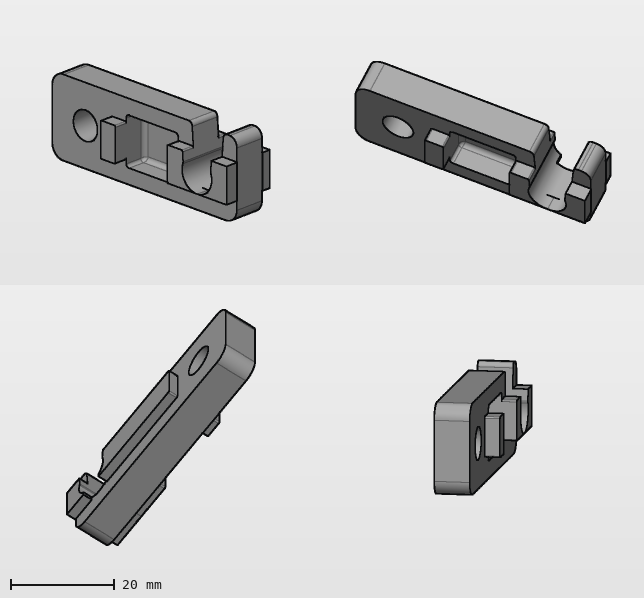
import cadquery as cq
import math

plate_length = 49.85
plate_height = 18.0
plate_thickness = 7.0
corner_radius = 3.0
tip_radius = 2.0

front_pad_height = 3.0
back_pad_height = 2.0
pad_start = 16.0
pad_end = 50.0
pad_width = 8.0
pad_edge_radius = 0.3
back_gap_width = 5.0

hole_diameter = 6.5
hole_x = 9.0

pocket_start = 20.0
pocket_end = 34.0
pocket_height = 11.0
pocket_depth = 5.0
pocket_corner_radius = 0.7
pocket_floor_radius = 1.0

seat_x = 42.0
seat_radius = 4.0
mouth_width = 8.5
throat_width = 7.5
throat_rise = 2.0
throat_radius = 1.0
mouth_radius = 1.0

mid_z = plate_height / 2
plate_front = front_pad_height
plate_back = plate_front + plate_thickness
back_face = plate_back + back_pad_height
half_mouth = mouth_width / 2
half_throat = throat_width / 2
throat_z = mid_z + throat_rise
taper = (half_mouth - half_throat) / (plate_height - throat_z)


def block(x_start, x_end, y_start, y_end, height):
    """Box centred on the mid height of the plate."""
    size = (x_end - x_start, y_end - y_start, height)
    corner = (x_start, y_start, mid_z - height / 2)
    return cq.Workplane("XY").box(*size, centered=False).translate(corner)


def cylinder(x, radius):
    """Cylinder along Y at mid height, through the full depth."""
    return cq.Workplane("XZ", origin=(x, 0, mid_z)).circle(radius).extrude(-back_face)


def make_slot():
    """Through slot with rounded lips where the throat meets the seat."""
    wall_angle = math.atan(taper)
    wall_x = half_throat - taper * throat_rise
    offset_x = wall_x + throat_radius / math.cos(wall_angle)
    reach = seat_radius + throat_radius
    quad_a = 1 + taper**2
    quad_b = offset_x * taper
    lip_rise = (math.sqrt(quad_b**2 - quad_a * (offset_x**2 - reach**2)) - quad_b) / quad_a
    lip_x = offset_x + taper * lip_rise
    wall_point = (
        lip_x - throat_radius * math.cos(wall_angle),
        lip_rise + throat_radius * math.sin(wall_angle),
    )
    seat_point = (lip_x * seat_radius / reach, lip_rise * seat_radius / reach)
    seat_angle = math.atan2(lip_rise, lip_x)
    middle_angle = math.pi + (seat_angle - wall_angle) / 2
    lip_middle = (
        lip_x + throat_radius * math.cos(middle_angle),
        lip_rise + throat_radius * math.sin(middle_angle),
    )

    def mirrored(point):
        return (-point[0], point[1])

    top = plate_height - mid_z
    return (
        cq.Workplane("XZ", origin=(seat_x, 0, mid_z))
        .moveTo(half_mouth, top)
        .lineTo(*wall_point)
        .threePointArc(lip_middle, seat_point)
        .threePointArc((0, -seat_radius), mirrored(seat_point))
        .threePointArc(mirrored(lip_middle), mirrored(wall_point))
        .lineTo(-half_mouth, top)
        .close()
        .extrude(-back_face)
    )


def edges_near(body, x, z):
    """Edges along Y close to the given x and z."""
    tolerance = 0.05
    low = (x - tolerance, -tolerance, z - tolerance)
    high = (x + tolerance, back_face + tolerance, z + tolerance)
    return body.edges("|Y").edges(cq.selectors.BoxSelector(low, high))


def make_plate():
    plate = block(0, plate_length, plate_front, plate_back, plate_height)
    plate = plate.edges("|Y and (<X or <Z)").fillet(corner_radius)
    return plate.edges("|Y and >X and >Z").fillet(tip_radius)


def make_pad(x_start, x_end, y_start, y_end, rounded_ends):
    """Pad with its edges along Y rounded at the ends given by the selector."""
    pad = block(x_start, x_end, y_start, y_end, pad_width)
    return pad.edges("|Y").edges(rounded_ends).fillet(pad_edge_radius)


def round_slot_edges(body):
    """Round both mouth edges, and the pad edges on the plate side of the throat."""
    for side in (-1, 1):
        mouth_x = seat_x + side * half_mouth
        body = edges_near(body, mouth_x, plate_height).fillet(mouth_radius)
    pad_top = mid_z + pad_width / 2
    half_gap = half_throat + taper * (pad_top - throat_z)
    return edges_near(body, seat_x - half_gap, pad_top).fillet(pad_edge_radius)


def make_pocket():
    pocket = block(pocket_start, pocket_end, plate_front, plate_front + pocket_depth, pocket_height)
    pocket = pocket.edges("|Y").fillet(pocket_corner_radius)
    return pocket.faces(">Y").edges().fillet(pocket_floor_radius)


back_gap = block(
    seat_x - back_gap_width / 2, seat_x + back_gap_width / 2, plate_back, back_face, pad_width
)

body = (
    make_plate()
    .union(make_pad(pad_start, pocket_start, 0, plate_front, "<X or >X"))
    .union(make_pad(pocket_end, pad_end, 0, plate_front, "<X"))
    .union(make_pad(pad_start, pad_end, plate_back, back_face, "<X").cut(back_gap))
    .cut(make_slot())
)

result = (
    round_slot_edges(body)
    .cut(make_pocket())
    .cut(cylinder(hole_x, hole_diameter / 2))
)